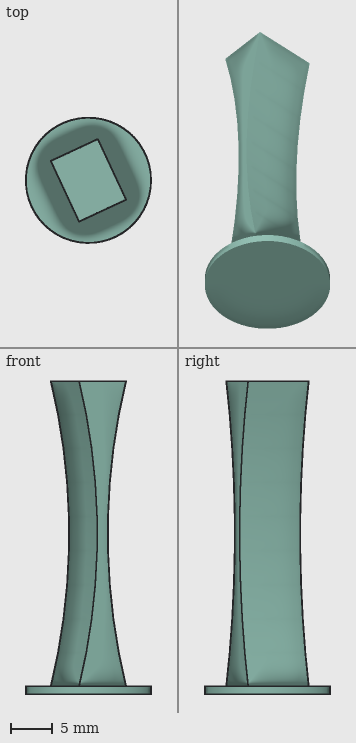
import cadquery as cq

disc_diameter = 15.0
disc_thickness = 1.0

total_height = 37.44
column_width = 6.2
column_depth = 8.0
waist_width = 1.4
column_turn = 25.0

column_height = total_height - disc_thickness


def make_disc():
    return cq.Workplane("XY").circle(disc_diameter / 2).extrude(disc_thickness)


def make_column():
    """Column whose two wide sides are hollowed to a thin waist at mid height."""
    half_width = column_width / 2
    half_waist = waist_width / 2
    middle = disc_thickness + column_height / 2
    profile = (
        cq.Workplane("XZ")
        .moveTo(-half_width, disc_thickness)
        .lineTo(half_width, disc_thickness)
        .threePointArc((half_waist, middle), (half_width, total_height))
        .lineTo(-half_width, total_height)
        .threePointArc((-half_waist, middle), (-half_width, disc_thickness))
        .close()
    )
    column = profile.extrude(column_depth / 2, both=True)
    return column.rotate((0, 0, 0), (0, 0, 1), column_turn)


result = make_disc().union(make_column())